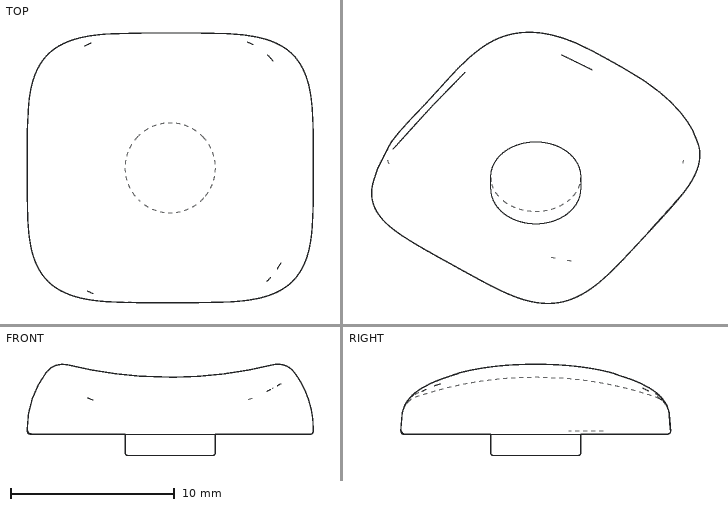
import cadquery as cq
import math

length = 17.47
width = 16.47
foot_outline_power = 4.2
outline_softening = 0.3434
outline_points_per_quarter = 10
wall_radius = 5.77
wall_start = 0.31
wall_levels = [0, 1.4, 2.45, 3.5, 4.37]
base_radius = 0.21

saddle_height = 3.5
dish_radius = 26.2
crown_radius = 22.71
rim_radius = 1.25

pin_diameter = 5.5
pin_length = 1.3
pin_edge_radius = 0.15

clearance = 1.75


def superellipse(angle, half_length, half_width, power):
    """Point of a rounded square in the direction of an angle."""
    cosine = math.cos(angle)
    sine = math.sin(angle)
    radius = (abs(cosine) ** power + abs(sine) ** power) ** (-1 / power)
    x = half_length * radius * cosine
    y = half_width * radius * sine
    return x, y


def section(height):
    """Closed body outline at a height above the start of the curved wall."""
    inset = wall_radius - math.sqrt(wall_radius**2 - height**2)
    half_length = length / 2 - inset
    half_width = width / 2 - inset
    power = foot_outline_power - outline_softening * height
    count = 4 * outline_points_per_quarter
    points = [
        superellipse(2 * math.pi * i / count, half_length, half_width, power)
        for i in range(count)
    ]
    z = wall_start + height
    plane = cq.Workplane("XY", origin=(0, 0, z))
    return plane.spline(points, periodic=True).close().wire().val()


def curved_body():
    """Straight foot with a lofted, inward-curling wall above it."""
    sections = [section(height) for height in wall_levels]
    wall = cq.Workplane(cq.Solid.makeLoft(sections))
    foot = cq.Workplane(cq.Solid.extrudeLinear(sections[0], [], cq.Vector(0, 0, -wall_start)))
    return foot.union(wall)


def saddle_tool():
    """Solid above the saddle, made by sweeping the dish arc around the crown axis."""
    reach = length / 2 + clearance
    rise = dish_radius - math.sqrt(dish_radius**2 - reach**2)
    top = saddle_height + rise + clearance
    axis_z = saddle_height - crown_radius
    sweep_angle = 2 * math.degrees(math.asin((width / 2 + clearance) / crown_radius))
    profile = (
        cq.Workplane("XZ")
        .moveTo(-reach, saddle_height + rise)
        .threePointArc((0, saddle_height), (reach, saddle_height + rise))
        .lineTo(reach, top)
        .lineTo(-reach, top)
        .close()
    )
    tool = profile.revolve(sweep_angle, (0, axis_z, 0), (1, axis_z, 0))
    return tool.rotate((0, 0, axis_z), (1, 0, axis_z), -sweep_angle / 2)


def pin():
    """Round pin with a softened lower edge."""
    cylinder = cq.Workplane("XY").circle(pin_diameter / 2).extrude(-pin_length)
    return cylinder.faces("<Z").edges().fillet(pin_edge_radius)


body = curved_body().cut(saddle_tool())
body = body.faces("<Z").edges().fillet(base_radius)
saddle_face = cq.selectors.NearestToPointSelector((0, 0, saddle_height))
body = body.faces(saddle_face).edges().fillet(rim_radius)
result = body.union(pin())